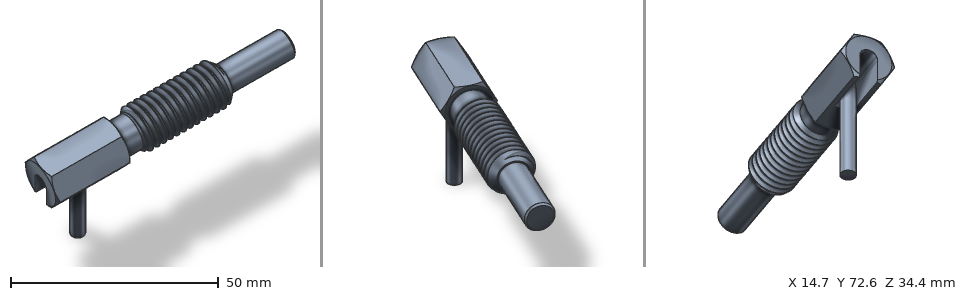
import cadquery as cq
import math


hex_length = 21.83
neck_length = 4.9
thread_length = 26.86
nose_reach = 19.05
thread_start = hex_length + neck_length
thread_end = thread_start + thread_length
nose_tip = thread_end + nose_reach

across_flats = 12.7
across_corners = across_flats / math.cos(math.radians(30))
hex_end_radius = 6.22
hex_chamfer_angle = 30

neck_radius = 4.92
thread_radius = 6.32
root_radius = 5.2
thread_tip_radius = 4.35
threads_per_inch = 13
thread_pitch = 25.4 / threads_per_inch
crest_flat = 0.25
root_flat = 0.1
crest_phase = 10.8

nose_diameter = 7.92
nose_radius = nose_diameter / 2
nose_chamfer = 0.5
rod_diameter = 3.95
rod_radius = rod_diameter / 2
bend_radius = 2.38
handle_y = hex_length / 2
handle_end_z = -28.0

slot_radius = 2.38
slot_end = handle_y + slot_radius


def revolve_about_y(points):
    """Solid of revolution from a closed outline of (radius, y) points."""
    return cq.Workplane("XY").polyline(points).close().revolve(360, (0, 0), (0, 1))


def cylinder_along_y(radius, start, end):
    """Cylinder on the main axis between two Y positions."""
    return cq.Workplane("XZ", origin=(0, start, 0)).circle(radius).extrude(start - end)


def hexagonal_grip():
    """Hexagonal bar with its corners turned off conically at both ends."""
    bar = cq.Workplane("XZ").polygon(6, across_corners).extrude(-hex_length)
    corner_radius = across_corners / 2
    chamfer_length = (corner_radius - hex_end_radius) * math.tan(math.radians(hex_chamfer_angle))
    envelope = revolve_about_y([
        (0, 0),
        (hex_end_radius, 0),
        (corner_radius, chamfer_length),
        (corner_radius, hex_length - chamfer_length),
        (hex_end_radius, hex_length),
        (0, hex_length),
    ])
    return bar.intersect(envelope)


def thread_groove():
    """Right-handed V groove, running out past both ends of the thread."""
    runout_turns = 2
    clearance = 0.3
    turns = math.ceil(thread_length / thread_pitch) + runout_turns
    turns_to_crest = math.floor(crest_phase / thread_pitch)
    start = crest_phase - (turns_to_crest + runout_turns - 0.5) * thread_pitch
    helix = cq.Wire.makeHelix(thread_pitch, turns * thread_pitch, root_radius)
    mouth = (thread_pitch - crest_flat) / 2
    floor = root_flat / 2
    profile = (
        cq.Workplane("XZ")
        .polyline([
            (root_radius, -floor),
            (thread_radius, -mouth),
            (thread_radius + clearance, -mouth),
            (thread_radius + clearance, mouth),
            (thread_radius, mouth),
            (root_radius, floor),
        ])
        .close()
    )
    groove = profile.sweep(cq.Workplane(obj=helix), isFrenet=True)
    return (
        groove
        .rotate((0, 0, 0), (0, 0, 1), 180)
        .rotate((0, 0, 0), (1, 0, 0), -90)
        .translate((0, thread_start + start, 0))
    )


def threaded_section():
    """Bar with a 45 degree taper at both ends, cut by the thread groove."""
    tip_taper = thread_radius - thread_tip_radius
    neck_taper = thread_radius - neck_radius
    bar = revolve_about_y([
        (0, thread_start),
        (neck_radius, thread_start),
        (thread_radius, thread_start + neck_taper),
        (thread_radius, thread_end - tip_taper),
        (thread_tip_radius, thread_end),
        (0, thread_end),
    ])
    return bar.cut(thread_groove())


def handle_slot():
    """Round-topped slot, open at the grip's end and at its underside."""
    straight = cq.Workplane("XY").box(
        2 * slot_radius, slot_end, across_flats, centered=(True, False, False)
    ).translate((0, 0, -across_flats))
    return straight.union(cylinder_along_y(slot_radius, 0, slot_end))


def make_housing():
    """Grip, neck and thread in one piece, bored for the plunger and slotted for its handle."""
    neck = cylinder_along_y(neck_radius, hex_length, thread_start)
    body = hexagonal_grip().union(neck).union(threaded_section())
    body = body.cut(cylinder_along_y(slot_radius, 0, thread_start))
    body = body.cut(cylinder_along_y(nose_radius, thread_start, thread_end))
    return body.cut(handle_slot())


def make_plunger():
    """Nose with a thinner rod behind it, bent down through the slot as a handle."""
    nose = cylinder_along_y(nose_radius, thread_start, nose_tip).faces(">Y").chamfer(nose_chamfer)
    bend_start = handle_y + bend_radius
    bend_offset = bend_radius * math.sin(math.radians(45))
    rod_path = (
        cq.Workplane("YZ")
        .moveTo(thread_start, 0)
        .lineTo(bend_start, 0)
        .threePointArc(
            (bend_start - bend_offset, bend_offset - bend_radius),
            (handle_y, -bend_radius),
        )
        .lineTo(handle_y, handle_end_z)
    )
    rod = cq.Workplane("XZ", origin=(0, thread_start, 0)).circle(rod_radius).sweep(rod_path)
    return nose.union(rod)


housing = make_housing()
plunger = make_plunger()

result = cq.Compound.makeCompound([housing.solids().val(), plunger.solids().val()])